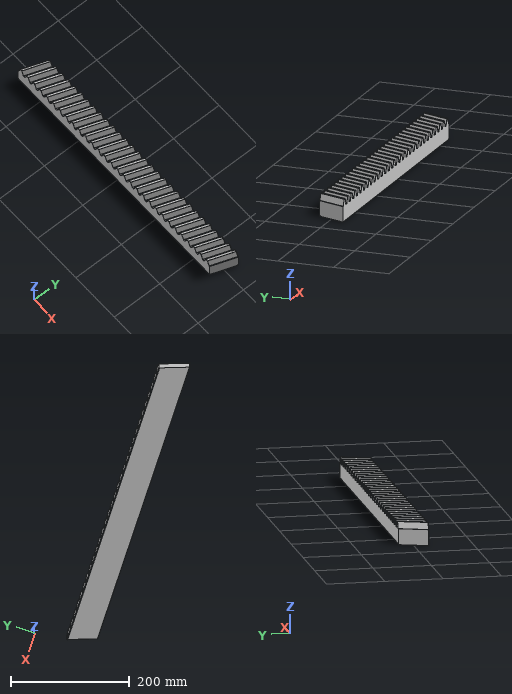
import cadquery as cq
import math

overall_length = 516.5
width = 49.0
pitch_line_height = 34.0

tooth_count = 30
helix_angle = 19.5
normal_pressure_angle = 20.0

end_trim = 0.9

bevel = 1.3

lean = width * math.tan(math.radians(helix_angle))
face_length = overall_length - lean

pitch = (face_length + end_trim) / tooth_count
module = pitch * math.cos(math.radians(helix_angle)) / math.pi
addendum = module
dedendum = 1.25 * module
height = pitch_line_height + addendum
root_level = pitch_line_height - dedendum

flank_slope = math.tan(math.radians(normal_pressure_angle)) / math.cos(math.radians(helix_angle))
half_tip = pitch / 4 - addendum * flank_slope
half_root = pitch / 4 + dedendum * flank_slope


def rack_profile():
    """Front outline as (x, z) points, with half a tooth space left at each end."""
    outline = [(0, 0), (0, root_level)]
    for index in range(tooth_count):
        center = (index + 0.5) * pitch - end_trim / 2
        outline += [
            (center - half_root, root_level),
            (center - half_tip, height),
            (center + half_tip, height),
            (center + half_root, root_level),
        ]
    outline += [(face_length, root_level), (face_length, 0)]
    return outline


def leaning_rack():
    """Sweep the front outline along the helix direction to the back face."""
    points = [cq.Vector(x, 0, z) for x, z in rack_profile()]
    front_face = cq.Face.makeFromWires(cq.Wire.makePolygon(points, close=True))
    return cq.Workplane(cq.Solid.extrudeLinear(front_face, cq.Vector(lean, width, 0)))


result = leaning_rack().faces(">Y").edges("<Z").chamfer(bevel)